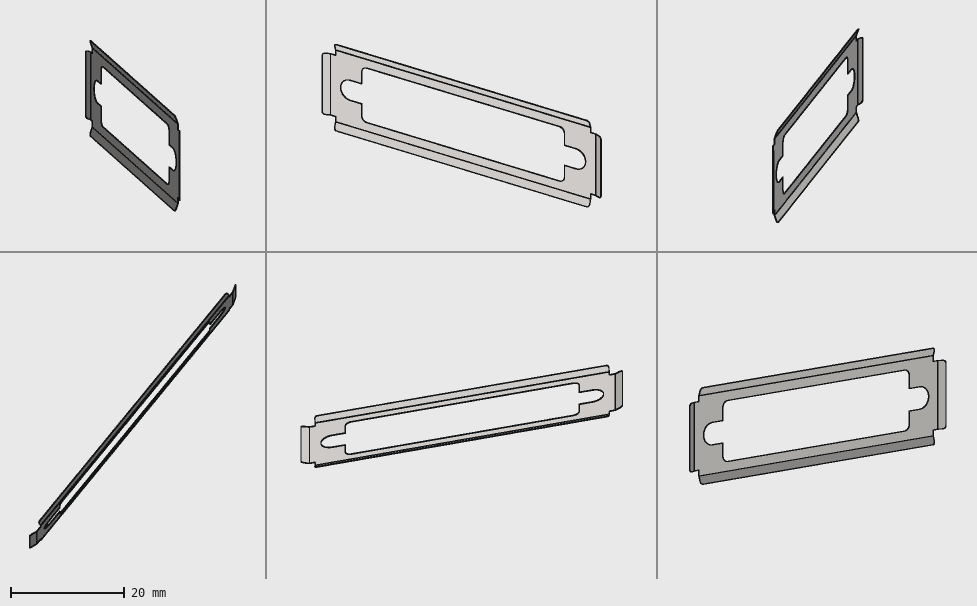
import cadquery as cq
import math

length = 58.0
height = 17.5
sheet = 0.13

bend_angle = math.radians(19.2)
flange_length = 53.0
tab_height = 12.4
flange_bend_span = 14.5
tab_bend_span = 55.1
flap_corner_radius = 0.6

window_length = 42.15
window_height = 11.0
window_corner_radius = 1.1
slot_length = 50.9
slot_height = 4.05


def bent_strip(plane, span, bend_span, width):
    """Strip with both ends bent forward, its section extruded over the given width."""
    half_span = span / 2
    front_bend = bend_span / 2
    back_bend = front_bend + sheet * math.tan(bend_angle / 2)
    front_tip = half_span - sheet * math.sin(bend_angle)
    front_drop = (front_tip - front_bend) * math.tan(bend_angle)
    front_tip_y = -sheet - front_drop
    back_tip_y = front_tip_y + sheet * math.cos(bend_angle)
    right_half = [
        (back_bend, 0),
        (half_span, back_tip_y),
        (front_tip, front_tip_y),
        (front_bend, -sheet),
    ]
    left_half = [(-across, y) for across, y in reversed(right_half)]
    section = cq.Workplane(plane).polyline(right_half + left_half).close()
    return section.extrude(width / 2, both=True)


def through_block(x_size, z_size, corner_radius):
    """Block with rounded corners, deep enough in Y to span the whole part."""
    depth = height
    return cq.Workplane("XY").box(x_size, depth, z_size).edges("|Y").fillet(corner_radius)


tab_plane = cq.Plane(origin=(0, 0, 0), xDir=(1, 0, 0), normal=(0, 0, 1))
flange_plane = cq.Plane(origin=(0, 0, 0), xDir=(0, 0, 1), normal=(-1, 0, 0))

flange_strip = bent_strip(flange_plane, height, flange_bend_span, flange_length)
flange_strip = flange_strip.intersect(through_block(flange_length, height, flap_corner_radius))

tab_strip = bent_strip(tab_plane, length, tab_bend_span, tab_height)
tab_strip = tab_strip.intersect(through_block(length, tab_height, flap_corner_radius))

window = through_block(window_length, window_height, window_corner_radius)
slot = cq.Workplane("XZ").slot2D(slot_length, slot_height).extrude(height / 2, both=True)

result = flange_strip.union(tab_strip).cut(window).cut(slot).clean()